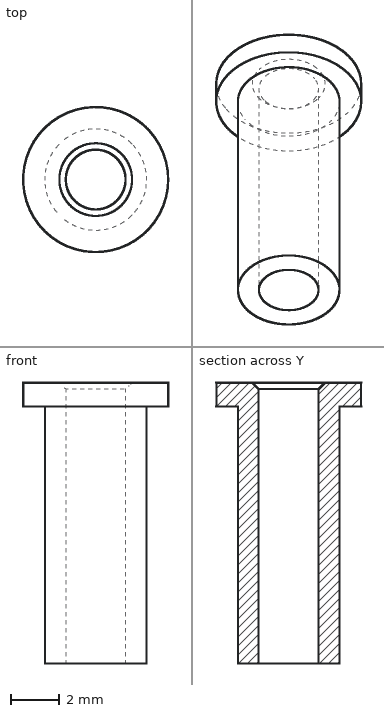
import cadquery as cq

total_height = 11.6
flange_diameter = 6.0
flange_thickness = 1.0
sleeve_diameter = 4.2
bore_diameter = 2.46
bore_mouth_diameter = 3.0

chamfer_size = (bore_mouth_diameter - bore_diameter) / 2
sleeve_height = total_height - flange_thickness

sleeve = cq.Workplane("XY").circle(sleeve_diameter / 2).extrude(sleeve_height)
flange = (
    cq.Workplane("XY")
    .workplane(offset=sleeve_height)
    .circle(flange_diameter / 2)
    .extrude(flange_thickness)
)

bushing = sleeve.union(flange).faces(">Z").workplane().hole(bore_diameter)
result = bushing.faces(">Z").edges("%CIRCLE").edges(cq.selectors.RadiusNthSelector(0)).chamfer(chamfer_size)